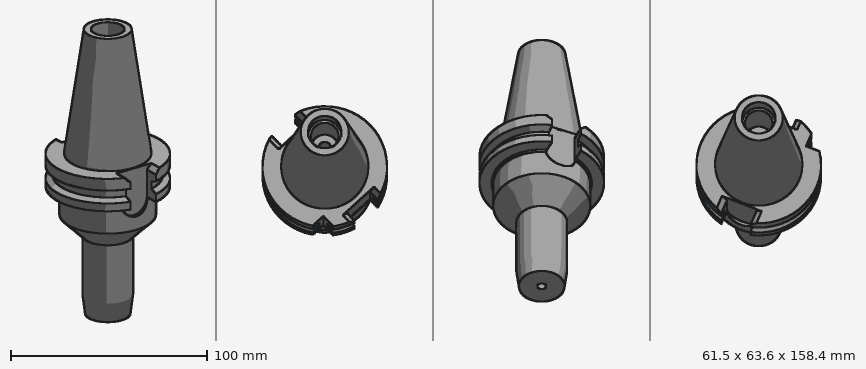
import cadquery as cq
import math


taper_length = 68.4
gauge_radius = 44.45 / 2
taper_rate = 7 / 24
taper_top_radius = gauge_radius - taper_length * taper_rate / 2

flange_radius = 63.55 / 2
flange_top_z = -1.0
flange_bottom_z = -19.1
groove_floor_radius = 56.25 / 2
groove_center_z = -11.1
groove_half_mouth = 3.6
groove_half_floor = 1.9

body_radius = 49.5 / 2
collar_height = 0.9
collar_overhang = 0.8
collar_radius = body_radius + collar_overhang
body_bottom_z = -34.7
nose_radius = 13.0
nose_top_z = body_bottom_z - (body_radius - nose_radius)
tip_top_z = -79.2
tip_radius = 11.65
tip_bottom_z = -90.0

slot_width = 16.1
slot_half_width = slot_width / 2
slot_chamfer = 2.85
left_slot_floor_x = -25.0
right_slot_floor_x = 22.8
notch_x = -18.5
notch_y = 18.5

entry_bore_diameter = 17.0
entry_bore_depth = 8.2
thread_bore_diameter = 14.0
thread_bore_depth = 32.0
coolant_bore_diameter = 6.3
coolant_bore_depth = 60.0
through_bore_diameter = 4.4

cutter_clearance = 5.0
cut_reach = flange_radius + cutter_clearance


def turned_blank():
    """Solid of revolution: taper, grooved flange, body and nose."""
    half_profile = [
        (0, taper_length),
        (taper_top_radius, taper_length),
        (gauge_radius, 0),
        (gauge_radius, flange_top_z),
        (flange_radius, flange_top_z),
        (flange_radius, groove_center_z + groove_half_mouth),
        (groove_floor_radius, groove_center_z + groove_half_floor),
        (groove_floor_radius, groove_center_z - groove_half_floor),
        (flange_radius, groove_center_z - groove_half_mouth),
        (flange_radius, flange_bottom_z),
        (collar_radius, flange_bottom_z),
        (body_radius, flange_bottom_z - collar_height),
        (body_radius, body_bottom_z),
        (nose_radius, nose_top_z),
        (nose_radius, tip_top_z),
        (tip_radius, tip_bottom_z),
        (0, tip_bottom_z),
    ]
    return cq.Workplane("YZ").polyline(half_profile).close().revolve(360, (0, 0), (0, 1))


def driving_slot(floor_x):
    """Cutter for a slot in the flange side, chamfered at the top edge and round at the lower end."""
    outward = math.copysign(cut_reach, floor_x) - floor_x
    mouth_half_width = slot_half_width + slot_chamfer
    outline = (
        cq.Workplane("YZ", origin=(floor_x, 0, 0))
        .moveTo(-mouth_half_width, flange_top_z)
        .lineTo(-slot_half_width, flange_top_z - slot_chamfer)
        .lineTo(-slot_half_width, flange_bottom_z)
        .threePointArc((0, flange_bottom_z - slot_half_width), (slot_half_width, flange_bottom_z))
        .lineTo(slot_half_width, flange_top_z - slot_chamfer)
        .lineTo(mouth_half_width, flange_top_z)
        .close()
    )
    return outline.extrude(outward)


def orientation_notch():
    """Cutter for the square notch through the rim at the -X, +Y corner of the flange."""
    return cq.Workplane("XY").box(
        cut_reach + notch_x,
        cut_reach - notch_y,
        flange_top_z - flange_bottom_z,
        centered=False,
    ).translate((-cut_reach, notch_y, flange_bottom_z))


def axial_bore(diameter, depth):
    """Cutter for a bore that enters from the small end of the taper."""
    return cq.Workplane("XY", origin=(0, 0, taper_length)).circle(diameter / 2).extrude(-depth)


bores = [
    (entry_bore_diameter, entry_bore_depth),
    (thread_bore_diameter, thread_bore_depth),
    (coolant_bore_diameter, coolant_bore_depth),
    (through_bore_diameter, taper_length - tip_bottom_z),
]

result = turned_blank()
for slot_floor_x in (left_slot_floor_x, right_slot_floor_x):
    result = result.cut(driving_slot(slot_floor_x))
result = result.cut(orientation_notch())
for bore_diameter, bore_depth in bores:
    result = result.cut(axial_bore(bore_diameter, bore_depth))